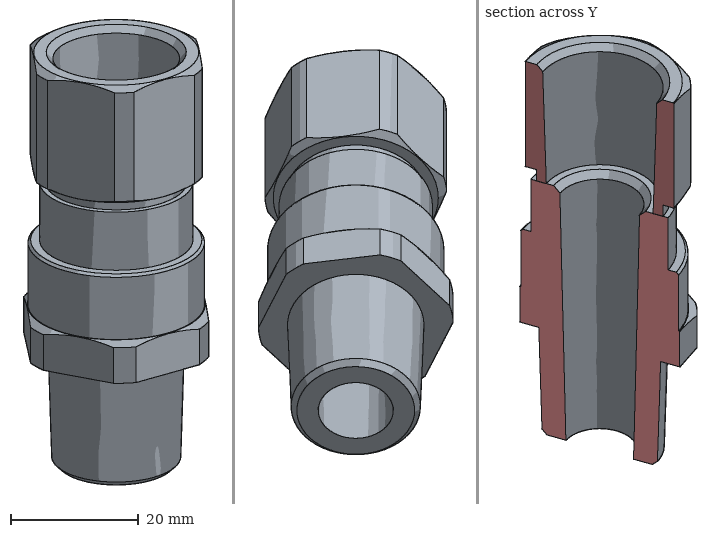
import cadquery as cq
import math

total_height = 69.75
hex_bottom = 19.95
hex_top = 26.8
collar_top = 37.8
barrel_top = 47.7
nut_hex_bottom = 49.7

body_hex_flats = 28.0
body_hex_corners = 30.5
nut_hex_flats = 26.0
nut_hex_corners = 28.45
hex_chamfer_angle = math.radians(30)
body_hex_chamfer_width = 1.3
nut_hex_chamfer_width = 1.3

collar_radius = 13.8
collar_chamfer = 0.4
barrel_radius = 12.0
neck_radius = 11.1
thread_top_radius = 10.7
thread_end_radius = 10.1
thread_end_chamfer = 0.9

body_bore_top_radius = 6.9
body_bore_end_radius = 5.85
body_bore_chamfer = 1.1
nut_bore_top_radius = 9.9
nut_bore_end_radius = 9.3
nut_mouth_chamfer = 1.05


def revolve_profile(points):
    """Turn a closed (radius, height) outline about the Z axis."""
    return cq.Workplane("XZ").polyline(points).close().revolve(360, (0, 0, 0), (0, 1, 0))


def hex_section(flats, corners, bottom, top, chamfer_width, chamfer_bottom):
    """Hexagon with flats facing +/-X, turned corners and 30 degree edge chamfers."""
    sharp_corners = flats / math.cos(math.pi / 6)
    prism = (
        cq.Workplane("XY")
        .workplane(offset=bottom)
        .transformed(rotate=(0, 0, 30))
        .polygon(6, sharp_corners)
        .extrude(top - bottom)
    )
    radius = corners / 2
    drop = chamfer_width * math.tan(hex_chamfer_angle)
    if chamfer_bottom:
        lower_edge = [(radius - chamfer_width, bottom), (radius, bottom + drop)]
    else:
        lower_edge = [(radius, bottom)]
    upper_edge = [(radius, top - drop), (radius - chamfer_width, top)]
    envelope = revolve_profile([(0, bottom), *lower_edge, *upper_edge, (0, top)])
    return prism.intersect(envelope)


def make_body():
    """Hexagon body with a tapered male thread below, and a collar and barrel above."""
    thread = revolve_profile([
        (0, 0),
        (thread_end_radius - thread_end_chamfer, 0),
        (thread_end_radius, thread_end_chamfer),
        (thread_top_radius, hex_bottom),
        (0, hex_bottom),
    ])
    hexagon = hex_section(
        body_hex_flats, body_hex_corners, hex_bottom, hex_top, body_hex_chamfer_width, False
    )
    collar_and_barrel = revolve_profile([
        (0, hex_top),
        (collar_radius, hex_top),
        (collar_radius, collar_top - collar_chamfer),
        (collar_radius - collar_chamfer, collar_top),
        (barrel_radius, collar_top),
        (barrel_radius, barrel_top),
        (0, barrel_top),
    ])
    bore = revolve_profile([
        (0, 0),
        (body_bore_end_radius, 0),
        (body_bore_top_radius, barrel_top - body_bore_chamfer),
        (body_bore_top_radius + body_bore_chamfer, barrel_top),
        (0, barrel_top),
    ])
    return thread.union(hexagon).union(collar_and_barrel).cut(bore)


def make_nut():
    """Hexagon socket on a short round neck, with a tapered bore right through."""
    neck = (
        cq.Workplane("XY")
        .workplane(offset=barrel_top)
        .circle(neck_radius)
        .extrude(nut_hex_bottom - barrel_top)
    )
    hexagon = hex_section(
        nut_hex_flats, nut_hex_corners, nut_hex_bottom, total_height, nut_hex_chamfer_width, True
    )
    bore = revolve_profile([
        (0, barrel_top),
        (nut_bore_end_radius, barrel_top),
        (nut_bore_top_radius, total_height - nut_mouth_chamfer),
        (nut_bore_top_radius + nut_mouth_chamfer, total_height),
        (0, total_height),
    ])
    return neck.union(hexagon).cut(bore)


body = make_body()
nut = make_nut()

result = cq.Compound.makeCompound([body.val(), nut.val()])